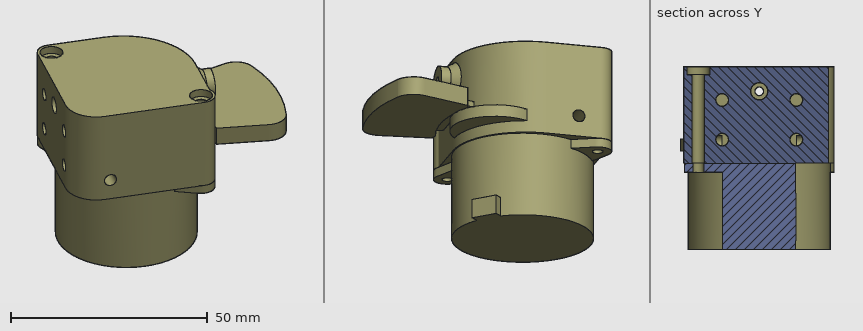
import cadquery as cq
import math

overall_length = 59.7

flange_bottom = 19.7
housing_bottom = 22.05
housing_top = 46.6
housing_height = housing_top - housing_bottom

motor_radius = 18.1
screw_offset = 15.45
ear_radius = 3.6
ear_flank_angle = 20.5
ear_flank_length = 7.15
ear_hole_diameter = 2.75
ear_directions = (45, 225)
connector_direction = 135
connector_reach = 20.05
connector_width = 7.0
connector_height = 4.95

side = screw_offset + ear_radius
big_arc_radius = 19.1
big_arc_x = -0.1
big_arc_y = -0.8
left_x = big_arc_x - big_arc_radius
back_y = big_arc_y + big_arc_radius
left_corner_radius = 3.65
right_corner_radius = 8.05
boss_blend_radius = 1.2

screw_diameter = 3.05
screw_head_diameter = 5.8
screw_head_depth = 2.05

mount_diameter = 3.15
mount_offset = 9.45
mount_low_z = 28.0
mount_high_z = 38.1
side_mount_z = 27.5

filament_z = 40.3
filament_bore = 2.15
inlet_diameter = 4.3
inlet_depth = 9.55
outlet_diameter = 7.75
outlet_end_y = 22.5
outlet_flare_length = 2.05
outlet_flare_width = 1.25
joint_margin = 1.2

wheel_x = -8.6
wheel_y = 9.8
wheel_radius = 11.45
wheel_bottom = 25.1
wheel_thickness = 3.1

lever_bottom = 29.1
lever_thickness = 4.8
lever_left_slope = -0.335
lever_right_slope = 0.138
lever_left_corner = (-14.8, 18.7)
lever_right_corner = (11.6, 20.65)
lever_inner_left = (-13.2, 18.4)
lever_inner_top = (0.6, 21.6)
lever_inner_right = (9.7, 20.3)
lever_outer_radius = 43.45
lever_top_y = overall_length - side
lever_corner_radius = 5.0
lever_blank_y = lever_top_y + 0.6
tongue_bottom = 30.6
tongue_thickness = 1.5
tongue_left = (-11.1, 19.3)
tongue_root_y = 13.15
tongue_tip_y = 23.9


def along_side(point, slope, y):
    """Point at the given Y on a sloping side that passes through the given point."""
    return (point[0] + slope * (y - point[1]), y)


def make_motor_ear(direction):
    """Mounting ear with a round tip and flanks that widen toward the motor."""
    screw_distance = screw_offset * math.sqrt(2)
    slope_sin = math.sin(math.radians(ear_flank_angle))
    slope_cos = math.cos(math.radians(ear_flank_angle))
    tangent_x = screw_distance + ear_radius * slope_sin
    tangent_y = ear_radius * slope_cos
    root_x = tangent_x - ear_flank_length * slope_cos
    root_y = tangent_y + ear_flank_length * slope_sin
    ear = (
        cq.Workplane("XY")
        .workplane(offset=flange_bottom)
        .moveTo(root_x, -root_y)
        .lineTo(tangent_x, -tangent_y)
        .threePointArc((screw_distance + ear_radius, 0), (tangent_x, tangent_y))
        .lineTo(root_x, root_y)
        .close()
        .extrude(housing_bottom - flange_bottom)
        .faces(">Z").workplane(origin=(screw_distance, 0, housing_bottom))
        .hole(ear_hole_diameter)
    )
    return ear.rotate((0, 0, 0), (0, 0, 1), direction)


def make_motor():
    """Round motor with two mounting ears and a connector block at the bottom."""
    motor = cq.Workplane("XY").circle(motor_radius).extrude(housing_bottom)
    connector = (
        cq.Workplane("XY")
        .box(connector_reach, connector_width, connector_height, centered=(False, True, False))
        .rotate((0, 0, 0), (0, 0, 1), connector_direction)
    )
    motor = motor.union(connector)
    for direction in ear_directions:
        motor = motor.union(make_motor_ear(direction))
    return motor


def nearest_edge(x, y, z):
    """Selector for the edge whose centre is closest to a point."""
    return cq.selectors.NearestToPointSelector((x, y, z))


def make_housing_block():
    """Square block with one large round corner and a screw boss at the back right."""
    arc_middle = big_arc_radius / math.sqrt(2)
    middle_z = (housing_bottom + housing_top) / 2
    block = (
        cq.Workplane("XY")
        .workplane(offset=housing_bottom)
        .moveTo(left_x, -side)
        .lineTo(side, -side)
        .lineTo(side, screw_offset)
        .lineTo(screw_offset, back_y)
        .lineTo(big_arc_x, back_y)
        .threePointArc((big_arc_x - arc_middle, big_arc_y + arc_middle), (left_x, big_arc_y))
        .close()
        .extrude(housing_height)
    )
    block = block.edges(nearest_edge(left_x, -side, middle_z)).fillet(left_corner_radius)
    block = block.edges(nearest_edge(side, -side, middle_z)).fillet(right_corner_radius)
    screw_boss = (
        cq.Workplane("XY")
        .workplane(offset=housing_bottom)
        .center(screw_offset, screw_offset)
        .circle(ear_radius)
        .extrude(housing_height)
    )
    boss_start_x = screw_offset - math.sqrt(ear_radius**2 - (back_y - screw_offset) ** 2)
    block = block.union(screw_boss)
    return block.edges(nearest_edge(boss_start_x, back_y, middle_z)).fillet(boss_blend_radius)


def cylinder_along_y(diameter, x, z, start_y, end_y):
    """Cylinder parallel to Y between two Y positions."""
    return (
        cq.Workplane("XZ", origin=(x, start_y, z))
        .circle(diameter / 2)
        .extrude(start_y - end_y)
    )


def add_outlet(housing):
    """Round filament outlet on the back, with a flare where it leaves the housing."""
    outlet = cylinder_along_y(outlet_diameter, 0, filament_z, 0, outlet_end_y)
    housing = housing.union(outlet)
    reach = outlet_diameter / 2
    joint = cq.selectors.BoxSelector(
        (-reach, back_y - joint_margin, filament_z - reach),
        (reach, back_y + joint_margin, filament_z + reach),
    )
    return housing.edges(joint).chamfer(outlet_flare_width, outlet_flare_length)


def make_wheel():
    """Drive wheel that shows through the round corner of the housing."""
    return (
        cq.Workplane("XY", origin=(wheel_x, wheel_y, wheel_bottom))
        .circle(wheel_radius)
        .extrude(wheel_thickness)
    )


def make_lever():
    """Fan-shaped lever plate with a thinner tongue that runs into the housing."""
    plate = (
        cq.Workplane("XY", origin=(0, 0, lever_bottom))
        .moveTo(*lever_left_corner)
        .lineTo(*lever_inner_left)
        .threePointArc(lever_inner_top, lever_inner_right)
        .lineTo(*lever_right_corner)
        .lineTo(*along_side(lever_right_corner, lever_right_slope, lever_blank_y))
        .lineTo(*along_side(lever_left_corner, lever_left_slope, lever_blank_y))
        .close()
        .extrude(lever_thickness)
    )
    outer_disc = (
        cq.Workplane("XY", origin=(0, lever_top_y - lever_outer_radius, lever_bottom))
        .circle(lever_outer_radius)
        .extrude(lever_thickness)
    )
    plate = plate.intersect(outer_disc)
    middle_z = lever_bottom + lever_thickness / 2
    for corner, slope in ((lever_left_corner, lever_left_slope), (lever_right_corner, lever_right_slope)):
        corner_x, corner_y = along_side(corner, slope, lever_top_y)
        corner_edge = nearest_edge(corner_x, corner_y, middle_z)
        plate = plate.edges("|Z").edges(corner_edge).fillet(lever_corner_radius)
    tongue = (
        cq.Workplane("XY", origin=(0, 0, tongue_bottom))
        .moveTo(*along_side(tongue_left, lever_left_slope, tongue_root_y))
        .lineTo(*along_side(lever_inner_right, lever_right_slope, tongue_root_y))
        .lineTo(*along_side(lever_inner_right, lever_right_slope, tongue_tip_y))
        .lineTo(*along_side(tongue_left, lever_left_slope, tongue_tip_y))
        .close()
        .extrude(tongue_thickness)
    )
    return plate.union(tongue)


def cut_screw_holes(housing):
    """Counterbored holes at two opposite corners, in line with the motor ears."""
    return (
        housing.faces(">Z").workplane(origin=(0, 0, housing_top))
        .pushPoints([(screw_offset, screw_offset), (-screw_offset, -screw_offset)])
        .cboreHole(screw_diameter, screw_head_diameter, screw_head_depth)
    )


def cut_mounting_holes(housing):
    """Four blind holes in the front face and one in each side, which meets a lower front hole."""
    for x in (-mount_offset, mount_offset):
        for z in (mount_low_z, mount_high_z):
            housing = housing.cut(cylinder_along_y(mount_diameter, x, z, -side, -mount_offset))
    for start_x, length in ((left_x, -mount_offset - left_x), (side, mount_offset - side)):
        side_hole = (
            cq.Workplane("YZ", origin=(start_x, -mount_offset, side_mount_z))
            .circle(mount_diameter / 2)
            .extrude(length)
        )
        housing = housing.cut(side_hole)
    return housing


def cut_filament_path(housing):
    """Bore from front to back, wider at the front where the feed tube enters."""
    housing = housing.cut(cylinder_along_y(inlet_diameter, 0, filament_z, -side, inlet_depth - side))
    return housing.cut(cylinder_along_y(filament_bore, 0, filament_z, -side, outlet_end_y))


def make_housing():
    """Gear housing with its outlet, drive wheel and lever."""
    housing = add_outlet(make_housing_block())
    housing = housing.union(make_wheel()).union(make_lever())
    housing = cut_screw_holes(housing)
    housing = cut_mounting_holes(housing)
    return cut_filament_path(housing)


motor = make_motor()
housing = make_housing()
result = cq.Compound.makeCompound([motor.val(), housing.val()])